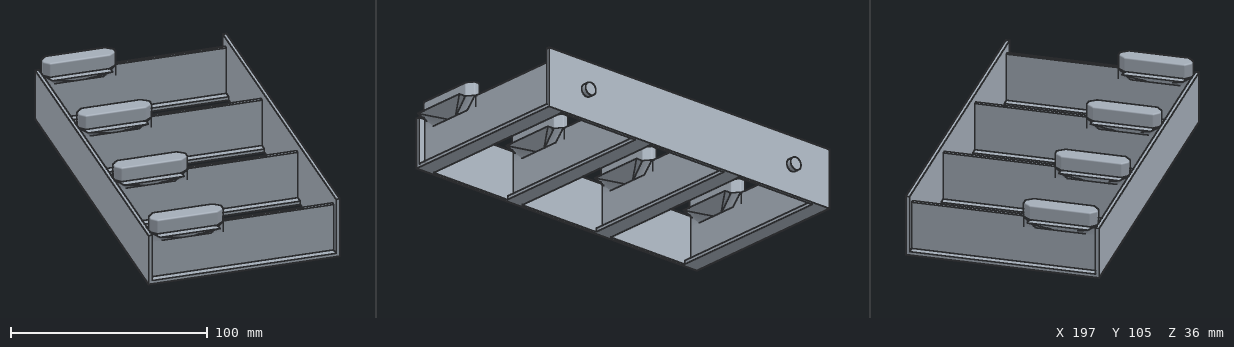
import cadquery as cq

FRAME_LENGTH = 190.0
FRAME_DEPTH = 102.0
WALL = 2.0
FRONT_HEIGHT = 28.0
BACK_HEIGHT = 33.0

DIVIDER_COUNT = 4
FLANGE_WIDTH = 10.0
DIVIDER_PITCH = (FRAME_LENGTH - FLANGE_WIDTH) / (DIVIDER_COUNT - 1)
HALF_WEB = WALL / 2

PEG_DIAMETER = 7.0
PEG_LENGTH = 3.0
PEG_EMBED = WALL / 2
PEG_SPACING = 139.0
PEG_HEIGHT = 16.5

GRIP_TOP = 36.0
GRIP_FRONT = WALL
GRIP_BACK = 41.0
GRIP_HALF_WIDTH = 4.5
GRIP_TIP_HALF_WIDTH = 1.5
GRIP_FRONT_TIP_LENGTH = 3.0
GRIP_BACK_TIP_LENGTH = 4.0
GRIP_FILLET = 1.0

SUPPORT_BASE = 22.0
WING_HALF_WIDTH = 8.5
WING_FRONT = GRIP_FRONT + GRIP_FRONT_TIP_LENGTH
WING_BACK = GRIP_BACK - GRIP_BACK_TIP_LENGTH

BASE_END_BACK = 34.5
BASE_SHOULDER = 26.0
BASE_SIDE_BACK = 25.5
BASE_SIDE_FRONT = 19.5
BASE_END_FRONT = 8.5


def box(x_size, y_start, y_end, height):
    """Box centred on X, standing on Z = 0 between two Y positions."""
    depth = y_end - y_start
    block = cq.Workplane("XY").box(x_size, depth, height, centered=(True, False, False))
    return block.translate((0, y_start, 0))


def mirrored(points):
    """Close a right-hand half outline with its mirror image about X = 0."""
    return points + [(-x, y) for x, y in reversed(points)]


def polygon_wire(points, z):
    """Closed polygon at height z."""
    return cq.Wire.makePolygon([cq.Vector(x, y, z) for x, y in points], close=True)


def make_frame():
    front = box(FRAME_LENGTH, 0, WALL, FRONT_HEIGHT)
    back = box(FRAME_LENGTH, FRAME_DEPTH - WALL, FRAME_DEPTH, BACK_HEIGHT)
    return front.union(back)


def make_peg():
    return (
        cq.Workplane("XZ", origin=(0, FRAME_DEPTH + PEG_LENGTH, PEG_HEIGHT))
        .circle(PEG_DIAMETER / 2)
        .extrude(PEG_LENGTH + PEG_EMBED)
    )


def make_grip():
    outline = mirrored([
        (GRIP_TIP_HALF_WIDTH, GRIP_BACK),
        (GRIP_HALF_WIDTH, WING_BACK),
        (GRIP_HALF_WIDTH, WING_FRONT),
        (GRIP_TIP_HALF_WIDTH, GRIP_FRONT),
    ])
    block = (
        cq.Workplane("XY", origin=(0, 0, FRONT_HEIGHT))
        .polyline(outline)
        .close()
        .extrude(GRIP_TOP - FRONT_HEIGHT)
    )
    return block.edges("|Z").fillet(GRIP_FILLET).faces(">Z").edges().fillet(GRIP_FILLET)


def make_support():
    """Ruled loft from the web section up to the wing outline."""
    base_stations = [
        GRIP_BACK,
        BASE_END_BACK,
        BASE_SHOULDER,
        BASE_SIDE_BACK,
        BASE_SIDE_FRONT,
        BASE_END_FRONT,
        GRIP_FRONT,
    ]
    base = mirrored([(HALF_WEB, y) for y in base_stations])
    wings = mirrored([
        (HALF_WEB, GRIP_BACK),
        (GRIP_TIP_HALF_WIDTH, GRIP_BACK),
        (GRIP_HALF_WIDTH, WING_BACK),
        (WING_HALF_WIDTH, WING_BACK),
        (WING_HALF_WIDTH, WING_FRONT),
        (GRIP_TIP_HALF_WIDTH, GRIP_FRONT),
        (HALF_WEB, GRIP_FRONT),
    ])
    sections = [polygon_wire(base, SUPPORT_BASE), polygon_wire(wings, FRONT_HEIGHT)]
    return cq.Workplane(cq.Solid.makeLoft(sections, True))


def make_divider():
    web = box(WALL, 0, FRAME_DEPTH, FRONT_HEIGHT)
    flange = box(FLANGE_WIDTH, 0, FRAME_DEPTH, WALL)
    return web.union(flange).union(make_support()).union(make_grip())


result = make_frame()
divider = make_divider()
for index in range(DIVIDER_COUNT):
    x = (index - (DIVIDER_COUNT - 1) / 2) * DIVIDER_PITCH
    result = result.union(divider.translate((x, 0, 0)))
for side in (-1, 1):
    result = result.union(make_peg().translate((side * PEG_SPACING / 2, 0, 0)))